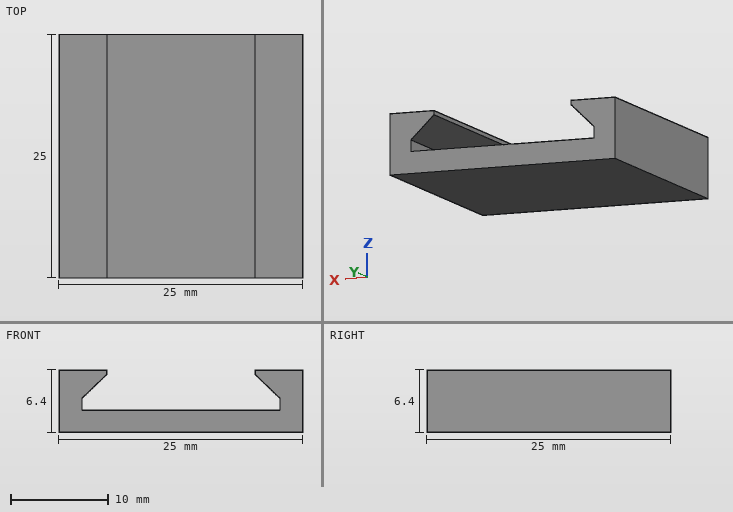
import cadquery as cq

width = 25.0
length = 25.0
height = 6.4

floor_thickness = 2.3
wall_thickness = 2.35
wall_straight_height = 1.2
lip_overhang = 2.55
lip_edge_height = 0.45

half_width = width / 2
half_channel = half_width - wall_thickness
half_opening = half_channel - lip_overhang
slope_start = floor_thickness + wall_straight_height
slope_end = height - lip_edge_height

half_profile = [
    (0, 0),
    (half_width, 0),
    (half_width, height),
    (half_opening, height),
    (half_opening, slope_end),
    (half_channel, slope_start),
    (half_channel, floor_thickness),
    (0, floor_thickness),
]

right_half = (
    cq.Workplane("XZ")
    .polyline(half_profile)
    .close()
    .extrude(length / 2, both=True)
)
result = right_half.union(right_half.mirror("YZ")).clean()